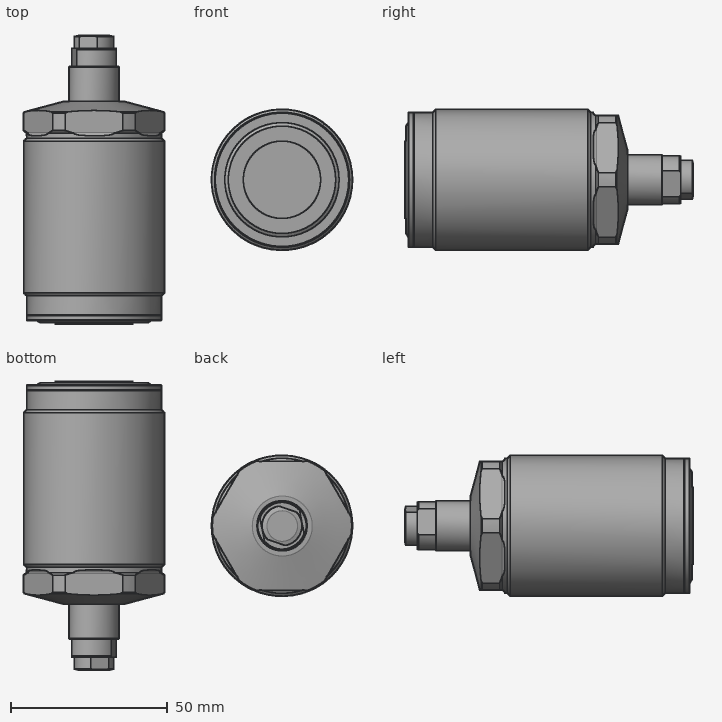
import cadquery as cq
import math

TOTAL_LENGTH = 92.0

CAP_RADIUS = 21.5
CAP_BACK = 2.7
CAP_RIM_FACE = 1.1
CAP_EDGE_CHAMFER = 0.3
BOSS_FACE = 0.4
BOSS_BASE_RADIUS = 18.2
BOSS_FACE_RADIUS = 17.1
CENTRE_PAD_RADIUS = 12.3

BARREL_RADIUS = 22.49
NECK_RADIUS = CAP_RADIUS
BARREL_CHAMFER = BARREL_RADIUS - NECK_RADIUS
BARREL_FRONT = 9.0
BARREL_BACK = 59.25
HOUSING_EDGE_CHAMFER = 0.4
HEAD_UNDERSIDE = 60.9
HEAD_UNDERSIDE_RISE = 0.8
HEAD_BACK = 71.0
HEAD_BACK_RADIUS = 9.6
HEAD_CONE_ANGLE = 15.0
HEAD_RIM_RADIUS = 22.2
HEAD_RIM_END = 67.25
HEX_SIDES = 6
HEX_FLAT_DISTANCE = 20.5
HEX_FLAT_START = 61.1
RUNOUT_RADIUS = 1.0

STEM_RADIUS = 8.0
STEM_END = 82.2
COLLAR_RADIUS = 7.7
STEM_CHAMFER = STEM_RADIUS - COLLAR_RADIUS
COLLAR_END = 87.95
COLLAR_CHAMFER_WIDTH = 0.3
COLLAR_CHAMFER_LENGTH = 0.5
COLLAR_FLAT_DISTANCE = 6.4
COLLAR_FLAT_ANGLE = -11.3
TIP_RADIUS = 6.35
TIP_FACE_RADIUS = 4.9
TIP_CHAMFER_LENGTH = 0.4
TIP_FLAT_DISTANCE = 5.6
TIP_FLAT_ANGLE = 109.0


def revolve_about_y(points):
    """Solid of revolution about Y from (radius, y) points that start and end on the axis."""
    return cq.Workplane("XY").polyline(points).close().revolve(360, (0, 0, 0), (0, 1, 0))


def turn_about_y(body, angle):
    """Turn a body about Y so that a feature on +X moves by angle towards +Z."""
    return body.rotate((0, 0, 0), (0, 1, 0), -angle)


def make_cap():
    return revolve_about_y([
        (0, 0),
        (CENTRE_PAD_RADIUS, 0),
        (CENTRE_PAD_RADIUS, BOSS_FACE),
        (BOSS_FACE_RADIUS, BOSS_FACE),
        (BOSS_BASE_RADIUS, CAP_RIM_FACE),
        (CAP_RADIUS - CAP_EDGE_CHAMFER, CAP_RIM_FACE),
        (CAP_RADIUS, CAP_RIM_FACE + CAP_EDGE_CHAMFER),
        (CAP_RADIUS, CAP_BACK),
        (0, CAP_BACK),
    ])


def make_hex_flat_cutter():
    """Block outside one hexagon flat on +X, whose front end curves outwards as a run-out."""
    reach = 2 * RUNOUT_RADIUS
    outside = HEX_FLAT_DISTANCE + reach
    arc_middle = RUNOUT_RADIUS * (1 - math.sqrt(0.5))
    arc_end = HEX_FLAT_DISTANCE + RUNOUT_RADIUS
    runout_end = HEX_FLAT_START - RUNOUT_RADIUS
    return (
        cq.Workplane("XY")
        .moveTo(HEX_FLAT_DISTANCE, HEAD_BACK)
        .lineTo(HEX_FLAT_DISTANCE, HEX_FLAT_START)
        .threePointArc(
            (HEX_FLAT_DISTANCE + arc_middle, HEX_FLAT_START - RUNOUT_RADIUS * math.sqrt(0.5)),
            (arc_end, runout_end),
        )
        .lineTo(outside, runout_end)
        .lineTo(outside, HEAD_BACK)
        .close()
        .extrude(BARREL_RADIUS, both=True)
    )


def make_housing():
    cone_drop = (HEAD_RIM_RADIUS - HEAD_BACK_RADIUS) * math.tan(math.radians(HEAD_CONE_ANGLE))
    housing = revolve_about_y([
        (0, CAP_BACK),
        (NECK_RADIUS - HOUSING_EDGE_CHAMFER, CAP_BACK),
        (NECK_RADIUS, CAP_BACK + HOUSING_EDGE_CHAMFER),
        (NECK_RADIUS, BARREL_FRONT),
        (BARREL_RADIUS, BARREL_FRONT + BARREL_CHAMFER),
        (BARREL_RADIUS, BARREL_BACK - BARREL_CHAMFER),
        (NECK_RADIUS, BARREL_BACK),
        (NECK_RADIUS, HEAD_UNDERSIDE),
        (BARREL_RADIUS, HEAD_UNDERSIDE + HEAD_UNDERSIDE_RISE),
        (BARREL_RADIUS, HEAD_RIM_END),
        (HEAD_RIM_RADIUS, HEAD_BACK - cone_drop),
        (HEAD_BACK_RADIUS, HEAD_BACK),
        (0, HEAD_BACK),
    ])
    flat_step = 360 / HEX_SIDES
    cutter = make_hex_flat_cutter()
    for side in range(HEX_SIDES):
        housing = housing.cut(turn_about_y(cutter, (side + 0.5) * flat_step))
    return housing


def cut_flat_pair(body, radius, flat_distance, angle, start, end):
    """Cut two opposite flats into the round stretch of a body between start and end."""
    depth = 2 * (radius - flat_distance)
    block = (
        cq.Workplane("XY")
        .box(depth, end - start, 2 * radius)
        .translate((flat_distance + depth / 2, (start + end) / 2, 0))
    )
    for half_turn in (0, 180):
        body = body.cut(turn_about_y(block, angle + half_turn))
    return body


def make_connector():
    connector = revolve_about_y([
        (0, HEAD_BACK),
        (STEM_RADIUS, HEAD_BACK),
        (STEM_RADIUS, STEM_END - STEM_CHAMFER),
        (COLLAR_RADIUS, STEM_END),
        (COLLAR_RADIUS, COLLAR_END - COLLAR_CHAMFER_LENGTH),
        (COLLAR_RADIUS - COLLAR_CHAMFER_WIDTH, COLLAR_END),
        (TIP_RADIUS, COLLAR_END),
        (TIP_RADIUS, TOTAL_LENGTH - TIP_CHAMFER_LENGTH),
        (TIP_FACE_RADIUS, TOTAL_LENGTH),
        (0, TOTAL_LENGTH),
    ])
    connector = cut_flat_pair(
        connector, COLLAR_RADIUS, COLLAR_FLAT_DISTANCE, COLLAR_FLAT_ANGLE, STEM_END, COLLAR_END
    )
    return cut_flat_pair(
        connector, TIP_RADIUS, TIP_FLAT_DISTANCE, TIP_FLAT_ANGLE, COLLAR_END, TOTAL_LENGTH
    )


cap = make_cap()
housing = make_housing()
connector = make_connector()

result = cq.Compound.makeCompound([cap.val(), housing.val(), connector.val()])